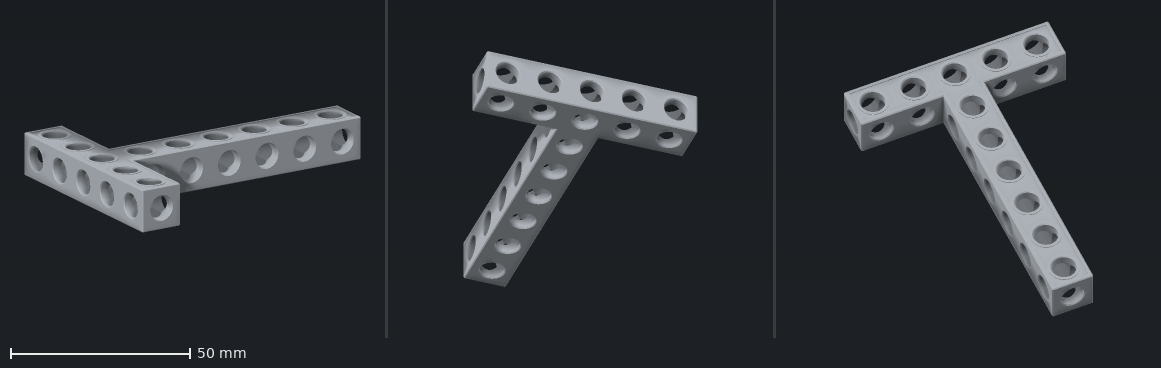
import cadquery as cq

length = 87.5
width = 62.5
bar_size = 12.5
stem_hole_count = 6
crossbar_hole_count = 5
stem_side_hole_span = 61.95
hole_diameter = 7.0
chamfer = 0.31
rim_width = 1.1
ring_diameter = 9.2
recess_depth = 0.2

hole_span = length - bar_size
pitch = hole_span / stem_hole_count
stem_side_pitch = stem_side_hole_span / (stem_hole_count - 1)

column_xs = [(i - (crossbar_hole_count - 1) / 2) * pitch for i in range(crossbar_hole_count)]
row_ys = [(i + 1) * pitch for i in range(stem_hole_count)]
stem_side_ys = [hole_span - i * stem_side_pitch for i in range(stem_hole_count)]
top_centers = [(x, 0) for x in column_xs] + [(0, y) for y in row_ys]


def make_bars(thickness, inset=0.0):
    """Crossbar and stem as plain boxes centred on Z, with their sides moved inward by inset."""
    crossbar = cq.Workplane("XY").box(width - 2 * inset, bar_size - 2 * inset, thickness)
    stem = cq.Workplane("XY").box(bar_size - 2 * inset, length - 2 * inset, thickness)
    return crossbar, stem.translate((0, hole_span / 2, 0))


def make_drill(start, direction, depth):
    """Solid that cuts a through hole with a chamfer at both mouths."""
    radius = hole_diameter / 2
    mouth_radius = radius + chamfer
    profile = (
        cq.Workplane("XZ")
        .lineTo(mouth_radius, 0)
        .lineTo(radius, chamfer)
        .lineTo(radius, depth - chamfer)
        .lineTo(mouth_radius, depth)
        .lineTo(0, depth)
        .close()
    )
    drill = profile.revolve(360, (0, 0, 0), (0, 1, 0)).val()
    return drill.moved(cq.Plane(origin=start, normal=direction).location)


crossbar, stem = make_bars(bar_size)
body = crossbar.edges().chamfer(chamfer).union(stem.edges().chamfer(chamfer))

rings = cq.Workplane("XY").pushPoints(top_centers).circle(ring_diameter / 2).extrude(bar_size, both=True)
recess_crossbar, recess_stem = make_bars(recess_depth, rim_width)
recess = recess_crossbar.union(recess_stem).cut(rings)
body = body.cut(recess.translate((0, 0, (bar_size - recess_depth) / 2)))

drills = [make_drill((x, y, -bar_size / 2), (0, 0, 1), bar_size) for x, y in top_centers]

for x in column_xs:
    depth = length if x == 0 else bar_size
    drills.append(make_drill((x, -bar_size / 2, 0), (0, 1, 0), depth))

drills += [make_drill((-bar_size / 2, y, 0), (1, 0, 0), bar_size) for y in stem_side_ys]
drills.append(make_drill((-width / 2, 0, 0), (1, 0, 0), width))

for drill in drills:
    body = body.cut(cq.Workplane(drill))

result = body